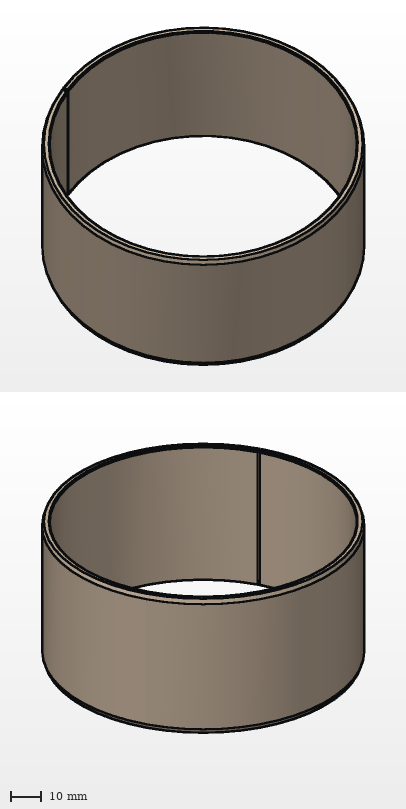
import cadquery as cq

outer_diameter = 105.0
wall_thickness = 2.5
length = 50.0
inner_diameter = outer_diameter - 2 * wall_thickness

outer_chamfer_length = 1.7
outer_chamfer_depth = 0.6
inner_chamfer = 0.37

gap_width = 0.8

outer_radius = outer_diameter / 2
inner_radius = inner_diameter / 2

wall_section = (
    cq.Workplane("XZ")
    .moveTo(inner_radius + inner_chamfer, 0)
    .lineTo(outer_radius - outer_chamfer_depth, 0)
    .lineTo(outer_radius, outer_chamfer_length)
    .lineTo(outer_radius, length - outer_chamfer_length)
    .lineTo(outer_radius - outer_chamfer_depth, length)
    .lineTo(inner_radius + inner_chamfer, length)
    .lineTo(inner_radius, length - inner_chamfer)
    .lineTo(inner_radius, inner_chamfer)
    .close()
)
sleeve = wall_section.revolve(360, (0, 0, 0), (0, 1, 0))

joint_gap = (
    cq.Workplane("XY")
    .box(outer_radius, gap_width, length, centered=False)
    .translate((-outer_radius, 0, 0))
)

result = sleeve.cut(joint_gap)